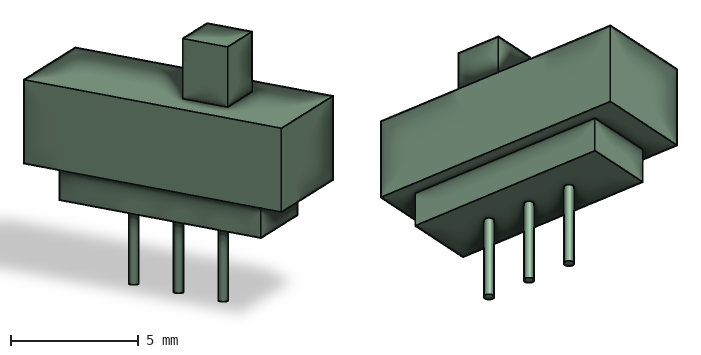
import cadquery as cq

body_length = 11.5
body_width = 4.2
body_height = 3.5

base_length = 9.0
base_width = 3.0
base_height = 1.5

knob_side = 2.0
knob_height = 2.51
knob_offset = 1.74

pin_diameter = 0.4
pin_length = 3.51
pin_pitch = knob_side
pin_count = 3


def block(length, width, height, bottom, center_x=0):
    """Rectangular block centred on Y = 0, standing on the given Z level."""
    return (
        cq.Workplane("XY")
        .box(length, width, height, centered=(True, True, False))
        .translate((center_x, 0, bottom))
    )


def pins():
    """Terminal pins hanging from the underside of the base."""
    return (
        cq.Workplane("XY")
        .workplane(offset=-base_height)
        .rarray(pin_pitch, 0.12, pin_count, 1)
        .circle(pin_diameter / 2)
        .extrude(-pin_length)
    )


body = block(body_length, body_width, body_height, 0)
base = block(base_length, base_width, base_height, -base_height)
knob = block(knob_side, knob_side, knob_height, body_height, knob_offset)

result = body.union(base).union(knob).union(pins())